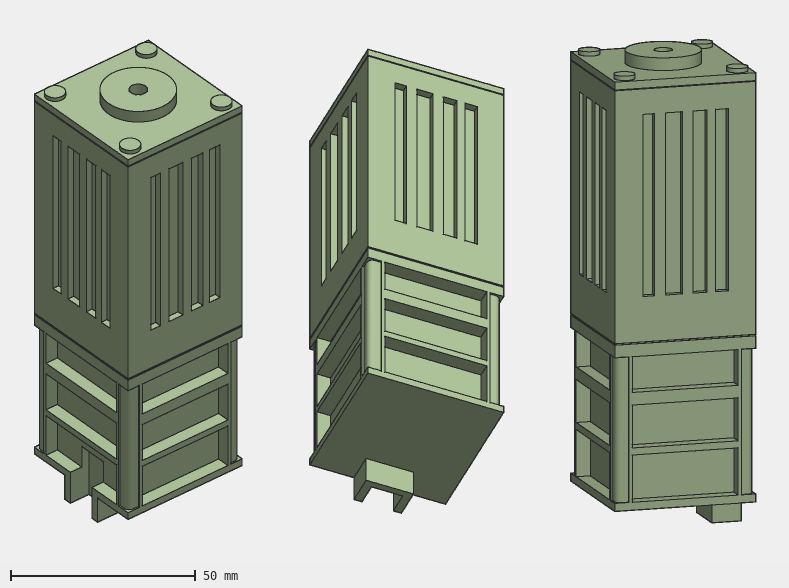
import cadquery as cq

WIDTH = 40.0
HALF_WIDTH = WIDTH / 2

FLANGE_TOP = 2.25
PANEL_TOP = 42.6
COVER_TOP = 119.05

SEAM_DEPTH = 0.1
SEAMS = [(46.1, 0.4), (116.65, 0.2)]

PANEL_WIDTH = 30.0
PANEL_DEPTH = 4.0
PANEL_SPANS = [(FLANGE_TOP, 15.35), (17.3, 29.2), (32.7, PANEL_TOP)]

NOTCH_WIDTH = 4.0
POST_INSET = 0.5
POST_RADIUS = 1.7

SLOT_BOTTOM = 59.1
SLOT_TOP = 109.6
SLOT_DEPTH = 2.0
SLOTS = [(-12.0, 3.3), (-5.6, 4.8), (2.2, 4.0), (8.6, 3.6)]

BOSS_DIAMETER = 20.8
BOSS_HEIGHT = 3.5
BORE_DIAMETER = 5.0
SCREW_HEAD_DIAMETER = 5.8
SCREW_HEAD_HEIGHT = 1.2
SCREW_SPACING = 32.0

FOOT_WIDTH = 14.0
FOOT_LENGTH = 8.4
FOOT_HEIGHT = 8.0
CHANNEL_WIDTH = 9.2
CHANNEL_DEPTH = 6.5
CHANNEL_TOP = 9.0


def box(x_range, y_range, z_range):
    """Box spanning the given (low, high) limits."""
    sizes = [high - low for low, high in (x_range, y_range, z_range)]
    corner = (x_range[0], y_range[0], z_range[0])
    return cq.Workplane("XY").box(*sizes, centered=False).translate(corner)


def square_prism(width, bottom, top):
    """Square prism centred on the column axis."""
    return cq.Workplane("XY").workplane(offset=bottom).rect(width, width).extrude(top - bottom)


def front_pocket(left, width, depth, bottom, top):
    """Cutter sunk into the front (-Y) face."""
    return box((left, left + width), (-HALF_WIDTH, -HALF_WIDTH + depth), (bottom, top))


def cut_on_all_faces(body, cutter):
    """Cut the front-face cutter into each of the four side faces."""
    for turn in range(4):
        body = body.cut(cutter.rotate((0, 0, 0), (0, 0, 1), 90 * turn))
    return body


def cut_panels(body):
    """Recess the stacked panels on each face of the base section."""
    for bottom, top in PANEL_SPANS:
        panel = front_pocket(-PANEL_WIDTH / 2, PANEL_WIDTH, PANEL_DEPTH, bottom, top)
        body = cut_on_all_faces(body, panel)
    return body


def cut_slots(body):
    """Cut the upright ventilation slots into each housing face."""
    for left, width in SLOTS:
        slot = front_pocket(left, width, SLOT_DEPTH, SLOT_BOTTOM, SLOT_TOP)
        body = cut_on_all_faces(body, slot)
    return body


def cut_corner_posts(body):
    """Set the four corners of the base section back and round them."""
    inner = HALF_WIDTH - NOTCH_WIDTH
    post = square_prism(WIDTH - 2 * POST_INSET, FLANGE_TOP, PANEL_TOP)
    post = post.edges("|Z").fillet(POST_RADIUS)
    corner = box((-HALF_WIDTH, -inner), (-HALF_WIDTH, -inner), (FLANGE_TOP, PANEL_TOP))
    return cut_on_all_faces(body, corner.cut(post))


def cut_seams(body):
    """Shallow grooves below and above the housing."""
    for bottom, height in SEAMS:
        ring = square_prism(WIDTH, bottom, bottom + height)
        core = square_prism(WIDTH - 2 * SEAM_DEPTH, bottom, bottom + height)
        body = body.cut(ring.cut(core))
    return body


def add_foot(body):
    """Foot under the front edge, with a channel running up into the lowest panel."""
    foot = box(
        (-FOOT_WIDTH / 2, FOOT_WIDTH / 2),
        (-HALF_WIDTH, -HALF_WIDTH + FOOT_LENGTH),
        (-FOOT_HEIGHT, 0),
    )
    channel = front_pocket(-CHANNEL_WIDTH / 2, CHANNEL_WIDTH, CHANNEL_DEPTH, -FOOT_HEIGHT, CHANNEL_TOP)
    return body.union(foot).cut(channel)


def add_top_fittings(body):
    """Bored boss and four screw heads standing on the cover."""
    cover = cq.Workplane("XY").workplane(offset=COVER_TOP)
    boss = cover.circle(BOSS_DIAMETER / 2).circle(BORE_DIAMETER / 2).extrude(BOSS_HEIGHT)
    screws = (
        cover.rect(SCREW_SPACING, SCREW_SPACING, forConstruction=True)
        .vertices()
        .circle(SCREW_HEAD_DIAMETER / 2)
        .extrude(SCREW_HEAD_HEIGHT)
    )
    return body.union(boss).union(screws)


column = square_prism(WIDTH, 0, COVER_TOP)
column = cut_panels(column)
column = cut_corner_posts(column)
column = cut_slots(column)
column = cut_seams(column)
column = add_foot(column)
result = add_top_fittings(column)